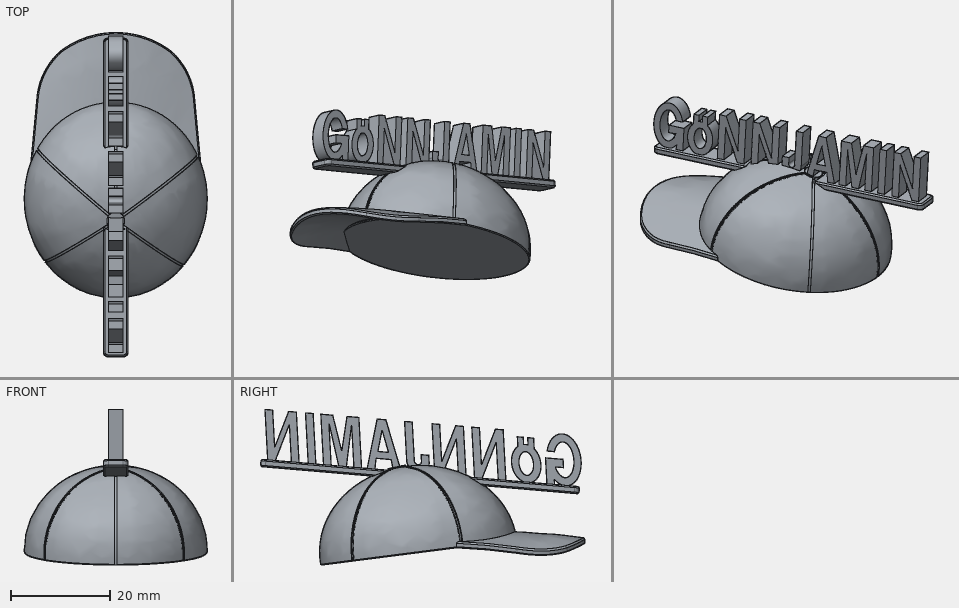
import math

import cadquery as cq


DOME_SEMI_X = 18.47
DOME_SEMI_Y = 19.95
DOME_SEMI_Z = 17.05
DOME_CENTER = (0, -0.9, -12.6)
DOME_TILT = 4.0
BASE_SLOPE = 7.3
BASE_DROP = 0.6
BASE_CHAMFER = 0.2

CROWN_AXIS_Y = -3.2
SEAM_WIDTH = 0.5
SEAM_DEPTH = 0.25
SEAM_ANGLES = (36, 90, 140, 213, 270, 323.5)
BUTTON_RADIUS = 1.8
BUTTON_RISE = 0.2

BRIM_THICKNESS = 1.3
BRIM_BEND_HALF_WIDTH = 18.0
BRIM_STATIONS = ((33.0, -10.25, 26.0), (26.0, -9.4, 32.0), (6.0, -9.2, 85.0))
BRIM_FRONT_Y = 32.71
BRIM_SHOULDER = (11.03, 29.05)
BRIM_CORNER_MID = (14.58, 24.4)
BRIM_SIDE_FRONT = (15.95, 19.0)
BRIM_SIDE_BACK = (17.1, 6.8)
BRIM_EDGE_CHAMFER = 0.3

RAIL_SLOPE = 4.9
RAIL_START = (0, 31.5, -1.35)
RAIL_LENGTH = 64.47
RAIL_WIDTH = 5.0
RAIL_HEIGHT = 1.5
RAIL_CORNER_RADIUS = 1.0
RAIL_CHAMFER = 0.3

LETTER_THICKNESS = 3.0
CAP_HEIGHT = 10.1
STROKE = 1.6
SLANT = 0.14
N_WIDTH = 6.4
N_DIAGONAL_REACH = 2.7
M_WIDTH = 7.75
M_SHOULDER = 2.45
M_VALLEY = 3.1
M_SLIT_TOP = 8.3
A_WIDTH = 6.9
A_TOP_WIDTH = 1.8
A_BAR_BOTTOM = 2.15
A_BAR_TOP = 3.6
A_EYE_TOP = 7.9
A_EYE_WIDTH = 2.1
A_LEG_GAP_TOP = 3.0
J_WIDTH = 4.6
J_HOOK_TOP = 3.7
J_BEND = 2.3
J_BEND_INNER = 0.7
G_SEMI = (3.5, 5.2)
G_INNER_SEMI = (2.0, 3.55)
G_CENTER_HEIGHT = 5.1
G_MOUTH = 1.35
G_BAR_HEIGHT = (3.5, 5.2)
G_BAR_START = 3.65
G_RIGHT = 7.25
O_SEMI = (3.0, 3.85)
O_INNER_SEMI = (1.45, 2.35)
O_CENTER_HEIGHT = 3.7
O_DOT_WIDTH = 1.25
O_DOT_OFFSETS = (-1.8, 0.3)
O_DOT_HEIGHT = (6.6, 8.95)


def ellipsoid(semi_x, semi_y, semi_z):
    """Ellipsoid about the origin with its poles on Z."""
    scaling = cq.Matrix([[semi_x, 0, 0, 0], [0, semi_y, 0, 0], [0, 0, semi_z, 0]])
    return cq.Workplane(cq.Workplane().sphere(1).val().transformGeometry(scaling))


def offset_dome(distance):
    """The dome's full ellipsoid, grown by a distance along each axis."""
    return ellipsoid(DOME_SEMI_X + distance, DOME_SEMI_Y + distance, DOME_SEMI_Z + distance)


def tilted(body, angle):
    return body.rotate((0, 0, 0), (1, 0, 0), angle)


def seam_grooves():
    """Thin radial slabs from the crown axis, hollowed so that only the dome's skin is cut."""
    reach = 2 * DOME_SEMI_Y
    slab = cq.Workplane().box(reach, SEAM_WIDTH, 2 * reach, centered=(False, True, True))
    core = offset_dome(-SEAM_DEPTH)
    grooves = []
    for angle in SEAM_ANGLES:
        placed = slab.rotate((0, 0, 0), (0, 0, 1), angle).translate((0, CROWN_AXIS_Y, 0))
        grooves.append(tilted(placed.cut(core), DOME_TILT))
    return grooves


def button():
    """Round patch over the meeting point of the seams, following the dome's curve."""
    post = cq.Workplane().center(0, CROWN_AXIS_Y).circle(BUTTON_RADIUS).extrude(2 * DOME_SEMI_Z)
    return tilted(post.intersect(offset_dome(BUTTON_RISE)), DOME_TILT)


def dome():
    size = 3 * DOME_SEMI_Y
    base = cq.Workplane(origin=(0, 0, -BASE_DROP))
    above_base = base.box(size, size, size, centered=(True, True, False))
    body = tilted(offset_dome(0), DOME_TILT).intersect(tilted(above_base, BASE_SLOPE))
    body = body.faces("<Z").edges().chamfer(BASE_CHAMFER)
    for groove in seam_grooves():
        body = body.cut(groove)
    return body.union(button()).translate(DOME_CENTER)


def bend_section(y, crown, radius):
    """Cross-section of the bent sheet at one Y station."""
    half = BRIM_BEND_HALF_WIDTH
    side = crown - radius + math.sqrt(radius**2 - half**2)
    return (
        cq.Workplane("XZ", origin=(0, y, 0))
        .moveTo(-half, side)
        .threePointArc((0, crown), (half, side))
        .lineTo(half, side - BRIM_THICKNESS)
        .threePointArc((0, crown - BRIM_THICKNESS), (-half, side - BRIM_THICKNESS))
        .close()
        .wires()
        .val()
    )


def mirrored(point):
    return (-point[0], point[1])


def brim():
    sheet = cq.Workplane(cq.Solid.makeLoft([bend_section(*station) for station in BRIM_STATIONS]))
    outline = (
        cq.Workplane(origin=(0, 0, -2 * BRIM_FRONT_Y))
        .moveTo(*mirrored(BRIM_SIDE_BACK))
        .lineTo(*BRIM_SIDE_BACK)
        .lineTo(*BRIM_SIDE_FRONT)
        .threePointArc(BRIM_CORNER_MID, BRIM_SHOULDER)
        .threePointArc((0, BRIM_FRONT_Y), mirrored(BRIM_SHOULDER))
        .threePointArc(mirrored(BRIM_CORNER_MID), mirrored(BRIM_SIDE_FRONT))
        .close()
        .extrude(4 * BRIM_FRONT_Y)
    )
    plate = sheet.intersect(outline)
    bent_faces = plate.faces("%BSPLINE")
    return bent_faces.edges().chamfer(BRIM_EDGE_CHAMFER)


def rail_plane(height, thickness):
    """Plane at the +X side of a centered slab: x runs up the rail, y is square to it, normal is -X."""
    slope = math.radians(RAIL_SLOPE)
    along = cq.Vector(0, -math.cos(slope), math.sin(slope))
    across = cq.Vector(0, math.sin(slope), math.cos(slope))
    origin = cq.Vector(RAIL_START) + across * height + cq.Vector(thickness / 2, 0, 0)
    return cq.Plane(origin, along, (-1, 0, 0))


def rail():
    side = rail_plane(0, RAIL_WIDTH)
    bar = cq.Workplane(side).rect(RAIL_LENGTH, RAIL_HEIGHT, centered=False).extrude(RAIL_WIDTH)
    top_direction = side.yDir
    uprights = cq.selectors.ParallelDirSelector(top_direction)
    rims = cq.selectors.DirectionMinMaxSelector(top_direction)
    floors = cq.selectors.DirectionMinMaxSelector(top_direction, directionMax=False)
    bar = bar.edges(uprights).fillet(RAIL_CORNER_RADIUS)
    return bar.faces(rims + floors).edges().chamfer(RAIL_CHAMFER)


def letter_base():
    return cq.Workplane(rail_plane(RAIL_HEIGHT, LETTER_THICKNESS))


def polygon(start, points):
    """Slanted straight-sided letter part; points are measured from the letter's lower left."""
    leaning = [(start + x + SLANT * y, y) for x, y in points]
    return letter_base().polyline(leaning).close().extrude(LETTER_THICKNESS)


def block(start, left, right, bottom, top):
    return polygon(start, [(left, bottom), (right, bottom), (right, top), (left, top)])


def oval(start, center, semi):
    """Slanted oval: leaning an upright ellipse sideways gives an ellipse with turned axes."""
    spread = semi[0] ** 2 + (SLANT * semi[1]) ** 2
    rise = semi[1] ** 2
    mixed = SLANT * semi[1] ** 2
    mean = (spread + rise) / 2
    swing = math.hypot((spread - rise) / 2, mixed)
    turn = math.degrees(math.atan2(2 * mixed, spread - rise) / 2)
    return (
        letter_base()
        .center(start + center[0] + SLANT * center[1], center[1])
        .ellipse(math.sqrt(mean + swing), math.sqrt(mean - swing), rotation_angle=turn)
        .extrude(LETTER_THICKNESS)
    )


def letter_g(start):
    center = (G_SEMI[0], G_CENTER_HEIGHT)
    bar_bottom, bar_top = G_BAR_HEIGHT
    ring = oval(start, center, G_SEMI).cut(oval(start, center, G_INNER_SEMI))
    mouth = block(start, G_SEMI[0] + STROKE / 2, 2 * G_RIGHT, bar_bottom, bar_top + G_MOUTH)
    bar = block(start, G_BAR_START, G_RIGHT, bar_bottom, bar_top)
    stem = block(start, G_RIGHT - STROKE, G_RIGHT, 0, bar_top)
    return ring.cut(mouth).union(bar).union(stem)


def letter_o_umlaut(start):
    center = (O_SEMI[0], O_CENTER_HEIGHT)
    letter = oval(start, center, O_SEMI)
    for offset in O_DOT_OFFSETS:
        left = O_SEMI[0] + offset
        letter = letter.union(block(start, left, left + O_DOT_WIDTH, *O_DOT_HEIGHT))
    return letter.cut(oval(start, center, O_INNER_SEMI))


def letter_n(start):
    right = N_WIDTH - STROKE
    return polygon(
        start,
        [
            (0, 0),
            (0, CAP_HEIGHT),
            (STROKE, CAP_HEIGHT),
            (right, N_DIAGONAL_REACH),
            (right, CAP_HEIGHT),
            (N_WIDTH, CAP_HEIGHT),
            (N_WIDTH, 0),
            (right, 0),
            (STROKE, CAP_HEIGHT - N_DIAGONAL_REACH),
            (STROKE, 0),
        ],
    )


def letter_j(start):
    center = (J_WIDTH / 2, J_BEND)
    outer = oval(start, center, (J_WIDTH / 2, J_BEND))
    inner = oval(start, center, (J_WIDTH / 2 - STROKE, J_BEND_INNER))
    upper_half = block(start, -STROKE, J_WIDTH + STROKE, J_BEND, CAP_HEIGHT)
    hook = outer.cut(inner).cut(upper_half)
    tip = block(start, 0, STROKE, J_BEND, J_HOOK_TOP)
    stem = block(start, J_WIDTH - STROKE, J_WIDTH, J_BEND, CAP_HEIGHT)
    return hook.union(tip).union(stem)


def letter_a(start):
    middle = A_WIDTH / 2
    top_half = A_TOP_WIDTH / 2
    gap_half = A_LEG_GAP_TOP / 2
    eye_half = A_EYE_WIDTH / 2
    letter = polygon(
        start,
        [
            (0, 0),
            (middle - top_half, CAP_HEIGHT),
            (middle + top_half, CAP_HEIGHT),
            (A_WIDTH, 0),
            (A_WIDTH - STROKE, 0),
            (middle + gap_half, A_BAR_BOTTOM),
            (middle - gap_half, A_BAR_BOTTOM),
            (STROKE, 0),
        ],
    )
    eye_corners = [(middle - eye_half, A_BAR_TOP), (middle + eye_half, A_BAR_TOP), (middle, A_EYE_TOP)]
    return letter.cut(polygon(start, eye_corners))


def letter_m(start):
    middle = M_WIDTH / 2
    right = M_WIDTH - STROKE
    return polygon(
        start,
        [
            (0, 0),
            (0, CAP_HEIGHT),
            (M_SHOULDER, CAP_HEIGHT),
            (middle, M_VALLEY),
            (M_WIDTH - M_SHOULDER, CAP_HEIGHT),
            (M_WIDTH, CAP_HEIGHT),
            (M_WIDTH, 0),
            (right, 0),
            (right, M_SLIT_TOP),
            (middle + STROKE / 2, 0),
            (middle - STROKE / 2, 0),
            (STROKE, M_SLIT_TOP),
            (STROKE, 0),
        ],
    )


def letter_i(start):
    return block(start, 0, STROKE, 0, CAP_HEIGHT)


LETTERS = (
    (letter_g, -0.6),
    (letter_o_umlaut, 7.6),
    (letter_n, 14.9),
    (letter_n, 22.95),
    (letter_j, 30.3),
    (letter_a, 36.1),
    (letter_m, 44.1),
    (letter_i, 53.35),
    (letter_n, 56.75),
)


def name_sign():
    sign = rail()
    for letter, start in LETTERS:
        sign = sign.union(letter(start))
    return sign


result = dome().union(brim()).union(name_sign())